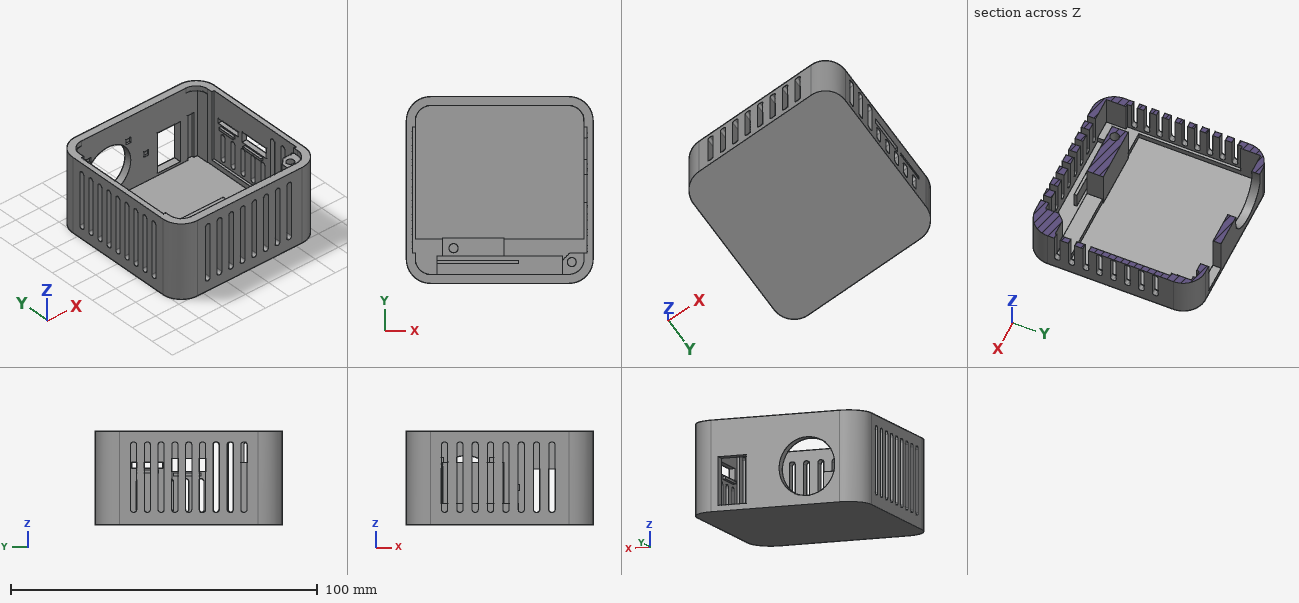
import cadquery as cq

SIZE = 61.0
HEIGHT = 30.5
CORNER_RADIUS = 8.0
WALL = 3.0
FLOOR = 1.0
LIP_HEIGHT = 2.0
INNER_RADIUS = CORNER_RADIUS - WALL
HALF = SIZE / 2
INNER_HALF = HALF - WALL
LIP_Z = HEIGHT - LIP_HEIGHT

CAVITY = (-INNER_HALF, INNER_HALF)
LOW_WALL = (-HALF, -INNER_HALF)
HIGH_WALL = (INNER_HALF, HALF)

RECESS_DEPTH = 1.0
RECESS_HALF_LENGTH = 20.5
RECESS_Z = 3.0
RECESS_X = INNER_HALF + RECESS_DEPTH
RECESS_SPAN = (-RECESS_HALF_LENGTH, RECESS_HALF_LENGTH)

PAD_THICKNESS = 0.2

STEP_BACK_Y = -15.9
POCKET_BACK_Y = -21.5

FIN_RIGHT_X = 6.1
FIN_FRONT_Y = -23.9
FIN_THICKNESS = 1.0
FIN_TOP_Z = 6.95

BLOCK_X = (-18.6, 1.4)
BLOCK_BACK_Y = -15.6
BLOCK_TOP_Z = 20.3
BLOCK_HOLE_CENTER = (-15.05, -19.0)
BLOCK_HOLE_DIAMETER = 3.0

POST_CHAMFER = 2.4
POST_HOLE_CENTER = (23.5, -23.5)
POST_HOLE_DIAMETER = 2.9
HOLE_DEPTH = 10.0

SLOT_WIDTH = 2.0
SLOT_BOTTOM_Z = 4.0
TALL_SLOT_TOP_Z = 27.0
SHORT_SLOT_TOP_Z = 15.0
SLOT_START = -18.0
FRONT_SLOTS = 8
FRONT_PITCH = 5.0
LEFT_SLOTS = 9
LEFT_PITCH = -2 * SLOT_START / (LEFT_SLOTS - 1)
RIGHT_TALL_SLOTS = 3
RIGHT_TALL_START = -19.05
RIGHT_TALL_PITCH = 5.1
RIGHT_SHORT_SLOTS = 5
RIGHT_SHORT_START = -3.95
RIGHT_SHORT_PITCH = 5.0
FILLET_GAP = 0.0005

PORTS = [
    ((8.5, 18.55), (18.5, 20.4), (9.95, 16.95), 17.95),
    ((-5.6, 6.5), (17.45, 21.55), (-4.0, 5.0), 16.95),
]
RIDGE_THICKNESS = 1.0

ROUND_OPENING_CENTER = (-11.05, 12.75)
ROUND_OPENING_DIAMETER = 19.5
WINDOW_X = (10.25, 20.05)
WINDOW_Z = (1.95, 18.1)
GROOVE_X = (23.25, 25.85)
GROOVE_DEPTH = 0.85
GROOVE_TOP_Z = 19.0
SQUARE = 2.0
SQUARE_DEPTH = 0.75
SQUARE_CENTERS = [(-19.4, 20.85), (-2.25, 20.85), (5.4, 12.2)]


def box(x, y, z):
    """Axis-aligned block from three (low, high) ranges."""
    lengths = [high - low for low, high in (x, y, z)]
    return cq.Workplane("XY").box(*lengths, centered=False).translate((x[0], y[0], z[0]))


def rounded_block(half, radius, z):
    """Square block centred on the Z axis with rounded upright edges."""
    side = (-half, half)
    return box(side, side, z).edges("|Z").fillet(radius)


def around(center, width):
    """(low, high) range of a given width about a centre."""
    return (center - width / 2, center + width / 2)


def vertical_hole(center, top_z, diameter):
    """Cutter for a blind hole going down from top_z."""
    plane = cq.Workplane("XY", origin=(*center, top_z))
    return plane.circle(diameter / 2).extrude(-HOLE_DEPTH)


def front_slot(x, top_z):
    """Cutter for an upright round-ended slot through the front wall."""
    slot = box(around(x, SLOT_WIDTH), LOW_WALL, (SLOT_BOTTOM_Z, top_z))
    return slot.edges("|Y").fillet(SLOT_WIDTH / 2 - FILLET_GAP)


def side_slot(y, top_z, wall):
    """Cutter for an upright round-ended slot through the left or right wall."""
    slot = box(wall, around(y, SLOT_WIDTH), (SLOT_BOTTOM_Z, top_z))
    return slot.edges("|X").fillet(SLOT_WIDTH / 2 - FILLET_GAP)


def make_shell():
    """Open box: square-cornered cavity under a lip with rounded inner corners."""
    shell = rounded_block(HALF, CORNER_RADIUS, (0, HEIGHT))
    shell = shell.cut(box(CAVITY, CAVITY, (FLOOR, LIP_Z)))
    shell = shell.cut(rounded_block(INNER_HALF, INNER_RADIUS, (LIP_Z, HEIGHT)))
    for recess in ((-RECESS_X, -INNER_HALF), (INNER_HALF, RECESS_X)):
        shell = shell.cut(box(recess, RECESS_SPAN, (RECESS_Z, HEIGHT)))
    pad_x = (INNER_HALF - PAD_THICKNESS, INNER_HALF)
    pad_y = (INNER_HALF - INNER_RADIUS, INNER_HALF)
    return shell.union(box(pad_x, pad_y, (FLOOR, LIP_Z)))


def add_front_mounts(body):
    """Step, pocket, fin, block and corner post along the inside of the front wall."""
    body = body.union(box(CAVITY, (-INNER_HALF, STEP_BACK_Y), (FLOOR, RECESS_Z)))
    body = body.cut(box(RECESS_SPAN, (-INNER_HALF, POCKET_BACK_Y), (FLOOR, RECESS_Z)))

    fin_x = (-RECESS_HALF_LENGTH, FIN_RIGHT_X)
    fin_y = (FIN_FRONT_Y, FIN_FRONT_Y + FIN_THICKNESS)
    body = body.union(box(fin_x, fin_y, (FLOOR, FIN_TOP_Z)))

    body = body.union(box(BLOCK_X, (POCKET_BACK_Y, BLOCK_BACK_Y), (FLOOR, BLOCK_TOP_Z)))
    body = body.cut(vertical_hole(BLOCK_HOLE_CENTER, BLOCK_TOP_Z, BLOCK_HOLE_DIAMETER))

    post_x = (RECESS_HALF_LENGTH, INNER_HALF)
    post_y = (-INNER_HALF, -RECESS_HALF_LENGTH)
    post = box(post_x, post_y, (FLOOR, LIP_Z))
    body = body.union(post.edges("|Z and <X and >Y").chamfer(POST_CHAMFER))
    return body.cut(vertical_hole(POST_HOLE_CENTER, LIP_Z, POST_HOLE_DIAMETER))


def cut_vents(body):
    """Rows of vent slots in the front, left and right walls."""
    for i in range(FRONT_SLOTS):
        body = body.cut(front_slot(SLOT_START + i * FRONT_PITCH, TALL_SLOT_TOP_Z))
    for i in range(LEFT_SLOTS):
        body = body.cut(side_slot(SLOT_START + i * LEFT_PITCH, TALL_SLOT_TOP_Z, LOW_WALL))
    for i in range(RIGHT_TALL_SLOTS):
        y = RIGHT_TALL_START + i * RIGHT_TALL_PITCH
        body = body.cut(side_slot(y, TALL_SLOT_TOP_Z, HIGH_WALL))
    for i in range(RIGHT_SHORT_SLOTS):
        y = RIGHT_SHORT_START + i * RIGHT_SHORT_PITCH
        body = body.cut(side_slot(y, SHORT_SLOT_TOP_Z, HIGH_WALL))
    return body


def add_ports(body):
    """Right-wall ports with a support ridge under each, flush with the cavity wall."""
    for port_y, port_z, ridge_y, ridge_top in PORTS:
        body = body.cut(box(HIGH_WALL, port_y, port_z))
        ridge_z = (ridge_top - RIDGE_THICKNESS, ridge_top)
        body = body.union(box((INNER_HALF, RECESS_X), ridge_y, ridge_z))
    return body


def cut_back_wall(body):
    """Round opening, window, upright groove and square pockets in the back wall."""
    opening_x, opening_z = ROUND_OPENING_CENTER
    plane = cq.Workplane("XZ", origin=(opening_x, INNER_HALF, opening_z))
    body = body.cut(plane.circle(ROUND_OPENING_DIAMETER / 2).extrude(-WALL))
    body = body.cut(box(WINDOW_X, HIGH_WALL, WINDOW_Z))

    groove_y = (INNER_HALF, INNER_HALF + GROOVE_DEPTH)
    body = body.cut(box(GROOVE_X, groove_y, (FLOOR, GROOVE_TOP_Z)))

    square_y = (INNER_HALF, INNER_HALF + SQUARE_DEPTH)
    for x, z in SQUARE_CENTERS:
        body = body.cut(box(around(x, SQUARE), square_y, around(z, SQUARE)))
    return body


body = make_shell()
body = add_front_mounts(body)
body = cut_vents(body)
body = add_ports(body)
result = cut_back_wall(body)